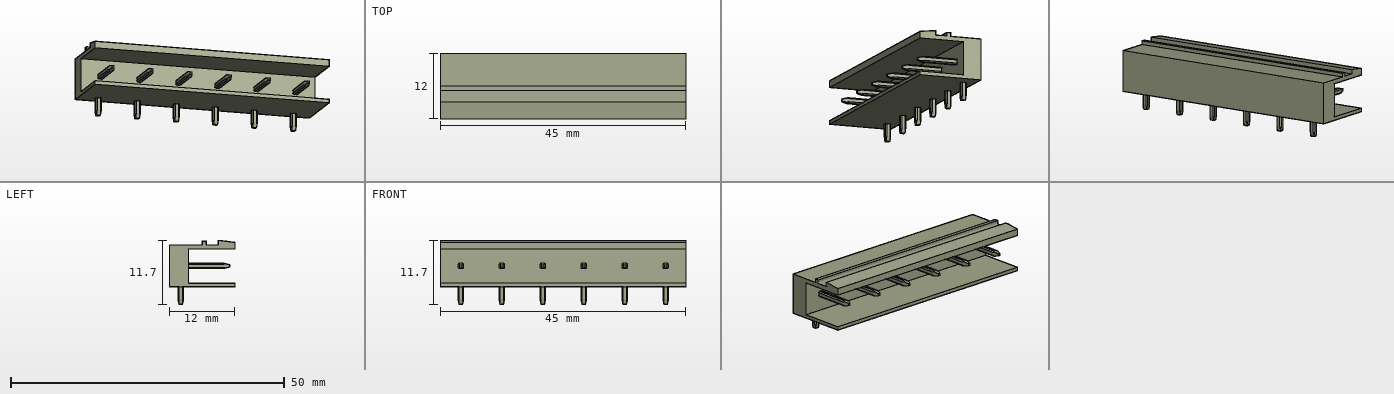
import cadquery as cq

LENGTH = 45.0
DEPTH = 12.0
HEIGHT = 7.7
BACK_WALL = 3.5
UPPER_ARM = 0.8
LOWER_ARM = 0.68

RIB_BACK = 6.0
RIB_WIDTH = 0.75
RIB_ROOT_FILLET = 0.1
RIB_HEIGHT = 0.68
RIDGE_WIDTH = 3.1
RIDGE_HEIGHT = 0.8
RIDGE_FLAT = 0.3
RIDGE_FRONT_HEIGHT = 0.45

PIN_COUNT = 6
PIN_PITCH = LENGTH / PIN_COUNT
PIN_WIDTH = 1.05
PIN_CHAMFER = 0.22

CONTACT_Z = 3.82
CONTACT_SETBACK = 0.95
CONTACT_TIP_LENGTH = 1.15
CONTACT_TIP_WIDTH = 0.4

SOLDER_Y = -2.05
SOLDER_DROP = 3.2
SOLDER_TIP_LENGTH = 0.9
SOLDER_TIP_WIDTH = 0.68


def make_housing_block():
    """Housing without its pin passages; the rib has a small fillet at its front root."""
    rib_front = RIB_BACK + RIB_WIDTH
    ridge_back = DEPTH - RIDGE_WIDTH
    profile = [
        (0, 0),
        (-DEPTH, 0),
        (-DEPTH, LOWER_ARM),
        (-BACK_WALL, LOWER_ARM),
        (-BACK_WALL, HEIGHT - UPPER_ARM),
        (-DEPTH, HEIGHT - UPPER_ARM),
        (-DEPTH, HEIGHT + RIDGE_FRONT_HEIGHT),
        (-ridge_back - RIDGE_FLAT, HEIGHT + RIDGE_HEIGHT),
        (-ridge_back, HEIGHT + RIDGE_HEIGHT),
        (-ridge_back, HEIGHT),
        (-rib_front, HEIGHT),
        (-rib_front, HEIGHT + RIB_HEIGHT),
        (-RIB_BACK, HEIGHT + RIB_HEIGHT),
        (-RIB_BACK, HEIGHT),
        (0, HEIGHT),
    ]
    block = cq.Workplane("YZ").polyline(profile).close().extrude(LENGTH)
    rib_root = cq.NearestToPointSelector((LENGTH / 2, -rib_front, HEIGHT))
    return block.edges("|X").edges(rib_root).fillet(RIB_ROOT_FILLET)


def make_leg(length, tip_length, tip_width):
    """Upright leg rising from Z = 0, with a four-sided tapered tip at its top."""
    straight = length - tip_length
    bar = cq.Workplane("XY").rect(PIN_WIDTH, PIN_WIDTH).extrude(length)
    bar = bar.edges("|Z").chamfer(PIN_CHAMFER)
    envelope = cq.Workplane("XY").rect(PIN_WIDTH, PIN_WIDTH).extrude(straight)
    taper = (
        cq.Workplane("XY", origin=(0, 0, straight))
        .rect(PIN_WIDTH, PIN_WIDTH)
        .workplane(offset=tip_length)
        .rect(tip_width, tip_width)
        .loft(ruled=True)
    )
    return bar.intersect(envelope.union(taper))


def make_pin(x):
    """Right-angle pin; both legs run to the outer faces of the bend."""
    elbow = PIN_WIDTH / 2
    contact_start = SOLDER_Y + elbow
    contact_length = contact_start + DEPTH - CONTACT_SETBACK
    contact = (
        make_leg(contact_length, CONTACT_TIP_LENGTH, CONTACT_TIP_WIDTH)
        .rotate((0, 0, 0), (1, 0, 0), 90)
        .translate((x, contact_start, CONTACT_Z))
    )
    solder_start = CONTACT_Z + elbow
    solder = (
        make_leg(solder_start + SOLDER_DROP, SOLDER_TIP_LENGTH, SOLDER_TIP_WIDTH)
        .rotate((0, 0, 0), (1, 0, 0), 180)
        .translate((x, SOLDER_Y, solder_start))
    )
    return contact.union(solder)


pins = [make_pin((i + 0.5) * PIN_PITCH) for i in range(PIN_COUNT)]

housing = make_housing_block()
for pin in pins:
    housing = housing.cut(pin)

result = cq.Compound.makeCompound([housing.val(), *[pin.val() for pin in pins]])